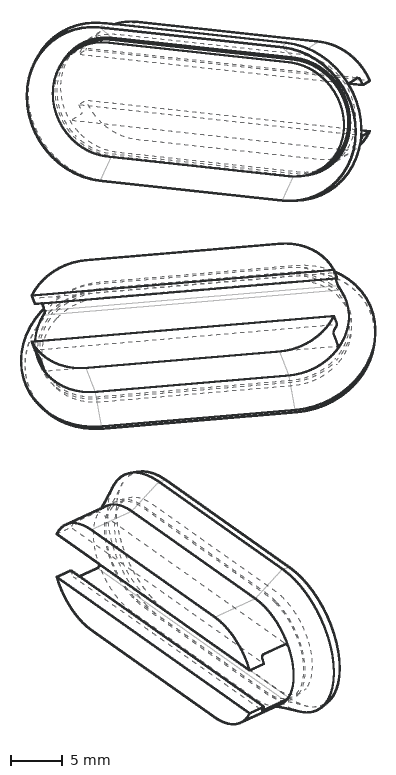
import cadquery as cq

overall_length = 34.8
overall_height = 15.8
overall_depth = 9.3
straight_length = overall_length - overall_height

body_height = 11.8
flange_depth = 4.28
body_depth = overall_depth - flange_depth

rim_depth = 0.9
front_inset = 0.2
front_height = overall_height - 2 * front_inset

dish_depth = 2.9
dish_lip = 0.05
dish_floor_height = 11.83
plate_gap = 0.2
plate_height = dish_floor_height - 2 * plate_gap
plate_front = 1.8

slot_mouth_height = 5.05
slot_height = 6.58
slot_lip_depth = 1.77
slot_fillet = 0.3


def stadium(height, y):
    """Stadium outline in the XZ plane at depth y; every outline shares its end centres."""
    return (
        cq.Workplane("XZ", origin=(0, y, 0))
        .slot2D(straight_length + height, height)
    )


def stadium_loft(first_height, first_y, last_height, last_y):
    """Solid tapering between two stadium outlines."""
    return (
        stadium(first_height, first_y)
        .workplane(offset=first_y - last_y)
        .slot2D(straight_length + last_height, last_height)
        .loft(ruled=True)
    )


def slot_box(height, y_start, depth):
    """Box along the full part length, centred on z = 0."""
    return (
        cq.Workplane("XY")
        .box(overall_length, depth, height, centered=(True, False, True))
        .translate((0, y_start, 0))
    )


rim = stadium_loft(front_height, 0, overall_height, rim_depth)
flare = stadium_loft(overall_height, rim_depth, body_height, flange_depth)
body = stadium(body_height, overall_depth).extrude(body_depth)

dish = stadium_loft(front_height - 2 * dish_lip, 0, dish_floor_height, dish_depth)
plate = stadium(plate_height, dish_depth).extrude(dish_depth - plate_front)

undercut_depth = body_depth - slot_lip_depth
undercut = slot_box(slot_height, flange_depth, undercut_depth).edges("|X").fillet(slot_fillet)
mouth = slot_box(slot_mouth_height, flange_depth, body_depth)

result = rim.union(flare).union(body).cut(dish).union(plate).cut(undercut).cut(mouth)